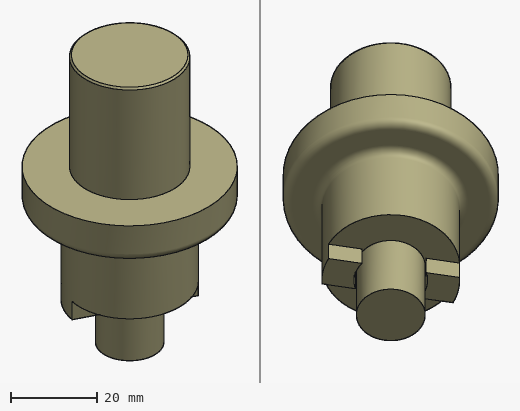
import cadquery as cq

total_height = 80.0
shaft_diameter = 28.0
shaft_chamfer = 0.5
flange_diameter = 50.0
flange_thickness = 10.0
flange_top = 49.0
flange_fillet = 2.0
hub_diameter = 32.0
hub_bottom = 17.0
neck_fillet = 2.0
pin_diameter = 16.0
key_bore_diameter = 17.1
key_width = 8.0
key_height = 5.0

flange_bottom = flange_top - flange_thickness


def cylinder(diameter, bottom, top):
    """Solid cylinder on the Z axis between two heights."""
    return cq.Workplane("XY").workplane(offset=bottom).circle(diameter / 2).extrude(top - bottom)


def make_flanged_hub():
    """Flange with a rounded lower rim, blended into the hub below it."""
    flange = cylinder(flange_diameter, flange_bottom, flange_top).faces("<Z").edges().fillet(flange_fillet)
    hub_radius = hub_diameter / 2
    neck = (
        cq.Workplane("XZ")
        .moveTo(0, hub_bottom)
        .lineTo(hub_radius, hub_bottom)
        .lineTo(hub_radius, flange_bottom - neck_fillet)
        .radiusArc((hub_radius + neck_fillet, flange_bottom), neck_fillet)
        .lineTo(0, flange_bottom)
        .close()
        .revolve(360, (0, 0), (0, 1))
    )
    return flange.union(neck)


def make_keys():
    """Driving keys below the hub, with ends on its outer surface and a small gap around the pin."""
    key_bottom = hub_bottom - key_height
    bar = (
        cq.Workplane("XY")
        .workplane(offset=key_bottom)
        .rect(key_width, hub_diameter)
        .extrude(key_height)
    )
    ring = cylinder(hub_diameter, key_bottom, hub_bottom).cut(
        cylinder(key_bore_diameter, key_bottom, hub_bottom)
    )
    return bar.intersect(ring)


shaft = cylinder(shaft_diameter, flange_top, total_height).faces(">Z").chamfer(shaft_chamfer)
pin = cylinder(pin_diameter, 0, hub_bottom)

result = make_flanged_hub().union(shaft).union(pin).union(make_keys())